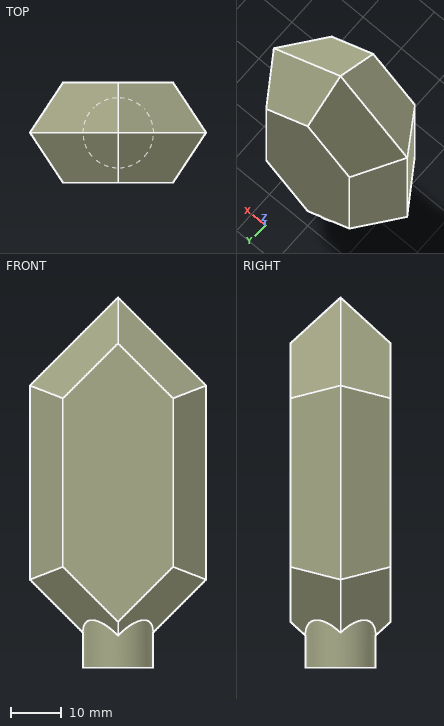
import cadquery as cq

height = 73.3
width = 34.9
thickness = 19.9

flat_face_width = 21.8
flat_face_height = 55.15
stem_diameter = 13.9

half_thickness = thickness / 2
mid_height = height / 2


def pointed_outline(plane_y, outline_width, outline_height):
    """Upright hexagon with 45 degree points, in the XZ plane at the given Y."""
    half_width = outline_width / 2
    half_height = outline_height / 2
    shoulder = half_height - half_width
    points = [
        (0, half_height),
        (half_width, shoulder),
        (half_width, -shoulder),
        (0, -half_height),
        (-half_width, -shoulder),
        (-half_width, shoulder),
    ]
    corners = [cq.Vector(x, plane_y, mid_height + z) for x, z in points]
    return cq.Wire.makePolygon(corners, close=True)


def gem_half(face_y):
    """Half of the gem, narrowing from the girdle at Y = 0 to a flat face."""
    girdle = pointed_outline(0, width, height)
    face = pointed_outline(face_y, flat_face_width, flat_face_height)
    return cq.Workplane(cq.Solid.makeLoft([girdle, face], True))


gem = gem_half(-half_thickness).union(gem_half(half_thickness))

stem = cq.Workplane("XY").circle(stem_diameter / 2).extrude(mid_height / 2)

result = gem.union(stem)